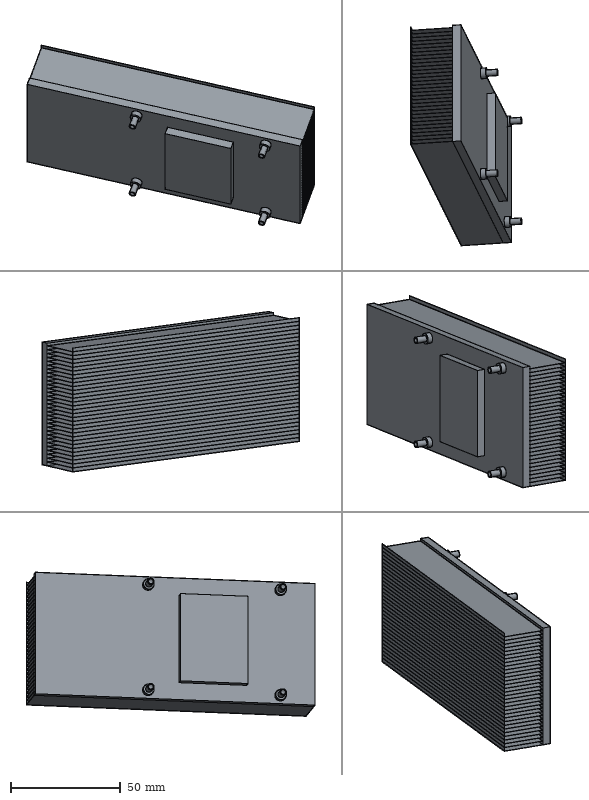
import cadquery as cq

length = 130.0
total_depth = 31.0
total_height = 57.6

base_thickness = 3.9
base_height = 57.1

fin_count = 32
fin_pitch = total_height / fin_count
fin_thickness = 0.14
sheet_thickness = fin_thickness

pad_width = 31.3
pad_height = 41.0
pad_thickness = 3.9
pad_left = 66.8
pad_bottom = 7.9

screw_length = 7.5
head_diameter = 5.0
head_height = 2.5
shank_diameter = 3.0
tip_recess_diameter = 2.2
tip_recess_depth = 0.8
screw_left = 52.3
screw_bottom = 3.8
screw_spacing_x = 61.5
screw_spacing_z = 49.4

base_front = screw_length
base_back = base_front + base_thickness
sheet_front = total_depth - sheet_thickness


def block(x, y, z, size_x, size_y, size_z):
    """Box placed by its lowest corner."""
    return cq.Workplane("XY").box(size_x, size_y, size_z, centered=False).translate((x, y, z))


def make_screw():
    """Headed stud along Y with its tip at the origin and a conical recess in the tip."""
    head_front = screw_length - head_height
    profile = [
        (0, tip_recess_depth),
        (tip_recess_diameter / 2, 0),
        (shank_diameter / 2, 0),
        (shank_diameter / 2, head_front),
        (head_diameter / 2, head_front),
        (head_diameter / 2, screw_length),
        (0, screw_length),
    ]
    return cq.Workplane("XY").polyline(profile).close().revolve(360, (0, 0, 0), (0, 1, 0))


def make_fin_pack():
    """Stacked fins joined by the sheet, which rises one fin gap above the topmost fin."""
    pack = block(0, sheet_front, 0, length, sheet_thickness, total_height)
    for index in range(fin_count):
        fin = block(0, base_back, index * fin_pitch, length, total_depth - base_back, fin_thickness)
        pack = pack.union(fin)
    return pack


base = block(0, base_front, 0, length, base_thickness, base_height)
pad = block(pad_left, base_front - pad_thickness, pad_bottom, pad_width, pad_thickness, pad_height)
result = base.union(pad).union(make_fin_pack())

screw = make_screw()
for x in (screw_left, screw_left + screw_spacing_x):
    for z in (screw_bottom, screw_bottom + screw_spacing_z):
        result = result.union(screw.translate((x, 0, z)))